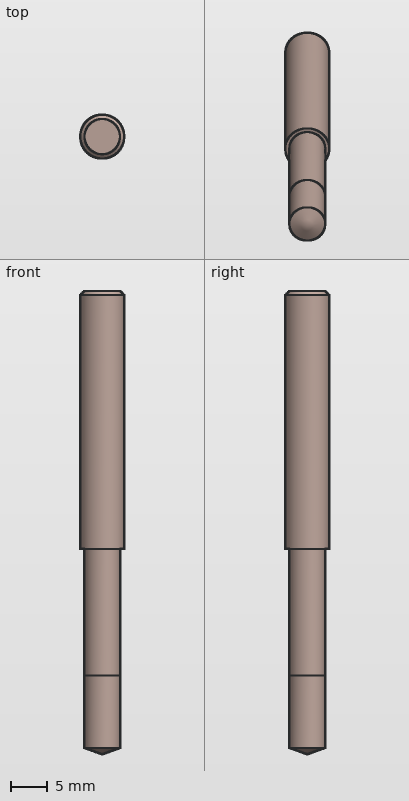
import cadquery as cq
import math

shank_diameter = 6.0
drill_diameter = 4.9
point_angle = 140.0
body_length = 62.0
shank_length = 35.0
cutting_length = 2 * drill_diameter
chamfer = 0.6

shank_radius = shank_diameter / 2
drill_radius = drill_diameter / 2
shoulder_z = drill_radius / math.tan(math.radians(point_angle / 2))
cutting_top_z = shoulder_z + cutting_length
shank_top_z = shoulder_z + body_length
shank_bottom_z = shank_top_z - shank_length


def revolve_about_z(points):
    """Revolve a closed outline of (radius, z) points around the Z axis."""
    return cq.Workplane("XZ").polyline(points).close().revolve(360, (0, 0), (0, 1))


def make_holder():
    """Chamfered shank with the plain neck below it, down to the cutting part."""
    return revolve_about_z([
        (0, cutting_top_z),
        (drill_radius, cutting_top_z),
        (drill_radius, shank_bottom_z),
        (shank_radius, shank_bottom_z),
        (shank_radius, shank_top_z - chamfer),
        (shank_radius - chamfer, shank_top_z),
        (0, shank_top_z),
    ])


def make_cutting_part():
    """Cylindrical cutting part that ends in the conical drill point."""
    return revolve_about_z([
        (0, 0),
        (drill_radius, shoulder_z),
        (drill_radius, cutting_top_z),
        (0, cutting_top_z),
    ])


holder = make_holder()
cutting_part = make_cutting_part()

result = cq.Compound.makeCompound([holder.val(), cutting_part.val()])